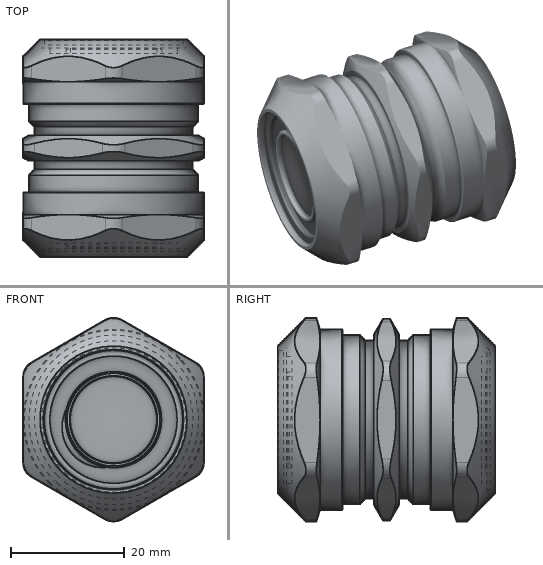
import cadquery as cq
import math


half_length = 19.25
across_flats = 32.0
flat_radius = across_flats / 2
corner_radius = flat_radius / math.cos(math.radians(30))

neck_radius = 28.0 / 2
body_radius = 30.0 / 2
body_chamfer = body_radius - neck_radius
body_start = 3.75

middle_half_width = 2.25
middle_corner_rounding = 4.0
middle_bevel_slope = math.tan(math.radians(30))

nut_start = 7.75
nut_edge_chamfer = 0.15
nut_hex_start = 11.75
nut_corner_rounding = 3.0
nut_bevel_slope = math.tan(math.radians(18))
nut_end_radius = 13.0

mouth_radius = 24.5 / 2
mouth_chamfer = 0.15
step_depth = 1.5
groove_depth = 0.5
inner_recess_radius = 22.5 / 2
floor_depth = 2.5

lip_outer_radius = 8.5
lip_inner_radius = 15.3 / 2
lip_height = floor_depth - step_depth
lip_outer_chamfer = 0.3
lip_inner_chamfer = 0.12

ramp_base_radius = 7.15
ramp_offset = 2.35
ramp_direction = math.radians(214.5)

step_level = half_length - step_depth
floor_level = half_length - floor_depth
lip_level = floor_level + lip_height


def turned(points):
    """Revolve a closed (radius, distance) outline about the Y axis."""
    return cq.Workplane("XY").polyline(points).close().revolve(360, (0, 0, 0), (0, 1, 0))


def hex_bar(start, end, corner_rounding):
    """Hexagonal bar along Y with rounded long edges and corners on the Z axis."""
    bar = cq.Workplane("XZ", origin=(0, end, 0)).polygon(6, 2 * corner_radius).extrude(end - start)
    return bar.edges("|Y").fillet(corner_rounding).rotate((0, 0, 0), (0, 1, 0), 90)


def make_middle_hexagon():
    bevel_width = (corner_radius - body_radius) * middle_bevel_slope
    envelope = turned([
        (0, -middle_half_width),
        (body_radius, -middle_half_width),
        (corner_radius, bevel_width - middle_half_width),
        (corner_radius, middle_half_width - bevel_width),
        (body_radius, middle_half_width),
        (0, middle_half_width),
    ])
    return hex_bar(-middle_half_width, middle_half_width, middle_corner_rounding).intersect(envelope)


def make_body_half():
    return turned([
        (0, 0),
        (neck_radius, 0),
        (neck_radius, body_start),
        (body_radius, body_start + body_chamfer),
        (body_radius, nut_start),
        (flat_radius - nut_edge_chamfer, nut_start),
        (flat_radius, nut_start + nut_edge_chamfer),
        (flat_radius, nut_hex_start),
        (0, nut_hex_start),
    ])


def make_nut_hexagon():
    bevel_width = (corner_radius - flat_radius) * nut_bevel_slope
    cone_width = corner_radius - nut_end_radius
    envelope = turned([
        (0, nut_hex_start),
        (flat_radius, nut_hex_start),
        (corner_radius, nut_hex_start + bevel_width),
        (corner_radius, half_length - cone_width),
        (nut_end_radius, half_length),
        (0, half_length),
    ])
    return hex_bar(nut_hex_start, half_length, nut_corner_rounding).intersect(envelope)


def make_recess():
    """Stepped recess with a flared groove, leaving a lip standing on its floor."""
    return turned([
        (0, half_length),
        (mouth_radius + mouth_chamfer, half_length),
        (mouth_radius, half_length - mouth_chamfer),
        (mouth_radius, step_level + groove_depth),
        (mouth_radius + groove_depth, step_level),
        (inner_recess_radius, step_level),
        (inner_recess_radius, floor_level),
        (lip_outer_radius, floor_level),
        (lip_outer_radius, lip_level - lip_outer_chamfer),
        (lip_outer_radius - lip_outer_chamfer, lip_level),
        (lip_inner_radius + lip_inner_chamfer, lip_level),
        (lip_inner_radius, lip_level - lip_inner_chamfer),
        (lip_inner_radius, floor_level),
        (0, floor_level),
    ])


def make_ramp():
    """Crescent left by an off-centre cone outside the lip, rising from the floor at the -Y end."""
    height = lip_height - lip_outer_chamfer
    top_radius = lip_outer_radius - lip_outer_chamfer - ramp_offset
    center_x = ramp_offset * math.cos(ramp_direction)
    center_z = ramp_offset * math.sin(ramp_direction)
    cone = cq.Solid.makeCone(
        ramp_base_radius,
        top_radius,
        height,
        cq.Vector(center_x, -floor_level, center_z),
        cq.Vector(0, -1, 0),
    )
    lip_middle_radius = (lip_outer_radius + lip_inner_radius) / 2
    lip_core = cq.Workplane("XZ", origin=(0, -floor_level, 0)).circle(lip_middle_radius).extrude(height)
    return cq.Workplane(cone).cut(lip_core)


half = make_body_half().union(make_nut_hexagon()).cut(make_recess())
result = half.union(half.mirror("XZ")).union(make_middle_hexagon()).union(make_ramp())